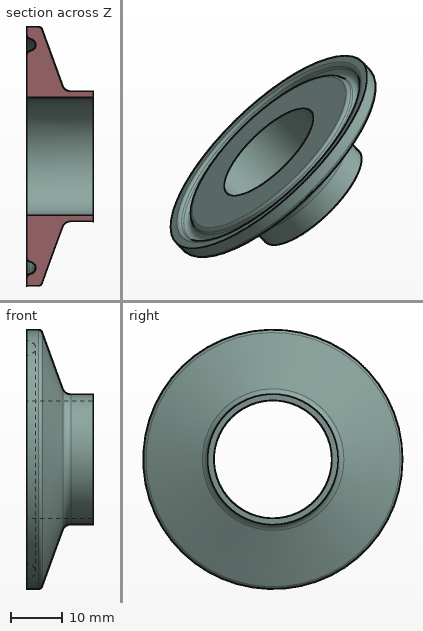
import cadquery as cq
import math

length = 13.0
flange_radius = 50.5 / 2
tube_radius = 25.4 / 2
bore_radius = 22.9 / 2

rim_width = 2.25
rim_round = 0.8
neck_round = 2 * rim_round
slope = math.radians(20)
sine = math.sin(slope)
cosine = math.cos(slope)
tangent = math.tan(slope)

groove_radius = 21.7
groove_half_width = 1.95
channel_round = 1.1
lip_round = 0.8


def revolve_about_x(profile):
    return profile.revolve(360, (0, 0, 0), (1, 0, 0))


def arc_point(centre, radius, angle):
    """Point in (X, radius) on an arc, with the angle measured from +X."""
    return (centre[0] + radius * math.cos(angle), centre[1] + radius * math.sin(angle))


def make_body():
    """Flange, conical back and tube, with tangent arcs at the rim and the neck."""
    arc_middle = (math.pi / 2 + slope) / 2
    rim_centre = (rim_width, flange_radius - rim_round)
    cone_start = arc_point(rim_centre, rim_round, slope)

    neck_centre_radius = tube_radius + neck_round
    cone_end_radius = neck_centre_radius - neck_round * sine
    cone_end_x = cone_start[0] + (cone_start[1] - cone_end_radius) * tangent
    neck_centre = (cone_end_x + neck_round * cosine, neck_centre_radius)

    return revolve_about_x(
        cq.Workplane("XY")
        .moveTo(0, bore_radius)
        .lineTo(0, flange_radius)
        .lineTo(rim_width, flange_radius)
        .threePointArc(arc_point(rim_centre, rim_round, arc_middle), cone_start)
        .lineTo(cone_end_x, cone_end_radius)
        .threePointArc(
            arc_point(neck_centre, neck_round, math.pi + arc_middle),
            (neck_centre[0], tube_radius),
        )
        .lineTo(length, tube_radius)
        .lineTo(length, bore_radius)
        .close()
    )


def make_groove():
    """Ring cut from the face, its lips, walls and floor all meeting tangentially."""
    lip_end_x = lip_round * (1 - sine)
    lip_end_offset = groove_half_width - lip_round * cosine
    wall_end_offset = channel_round * cosine
    wall_end_x = lip_end_x + (lip_end_offset - wall_end_offset) / tangent
    floor_x = wall_end_x + channel_round * (1 - sine)

    lip_half_turn = (math.pi / 2 - slope) / 2
    lip_middle_x = lip_round * (1 - math.cos(lip_half_turn))
    lip_middle_offset = groove_half_width - lip_round * math.sin(lip_half_turn)

    return revolve_about_x(
        cq.Workplane("XY")
        .moveTo(0, groove_radius + groove_half_width)
        .threePointArc(
            (lip_middle_x, groove_radius + lip_middle_offset),
            (lip_end_x, groove_radius + lip_end_offset),
        )
        .lineTo(wall_end_x, groove_radius + wall_end_offset)
        .threePointArc((floor_x, groove_radius), (wall_end_x, groove_radius - wall_end_offset))
        .lineTo(lip_end_x, groove_radius - lip_end_offset)
        .threePointArc(
            (lip_middle_x, groove_radius - lip_middle_offset),
            (0, groove_radius - groove_half_width),
        )
        .close()
    )


result = make_body().cut(make_groove())